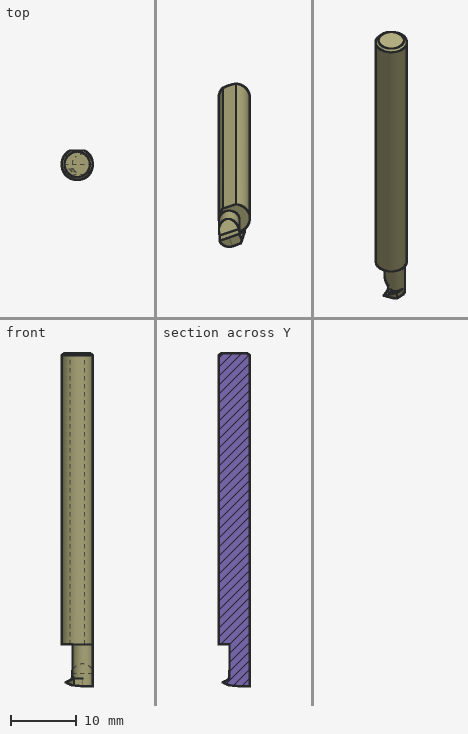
import cadquery as cq

overall_length = 50.8
shank_radius = 2.4
shank_flat_y = 2.15
chamfer_width = 0.45
chamfer_height = 0.35

neck_length = 6.4
neck_radius = 1.6
neck_center_x = shank_radius - neck_radius

relief_start_z = 1.95
relief_end_z = 3.45

tip_x = -1.8
tip_z = 0.6
tip_heel_x = -0.5
tip_top_z = 1.2
flank_bottom_x = -0.8
flank_bottom_z = 0.15

gusset_foot_x = -0.95
gusset_foot_z = tip_z + (gusset_foot_x - tip_x) * (tip_top_z - tip_z) / (tip_heel_x - tip_x)
gusset_top_x = -0.7
gusset_top_z = 1.4
gusset_depth = 0.7


def make_shank():
    shank_length = overall_length - neck_length
    side = (
        cq.Workplane("XZ")
        .moveTo(0, neck_length)
        .lineTo(shank_radius, neck_length)
        .lineTo(shank_radius, overall_length - chamfer_height)
        .lineTo(shank_radius - chamfer_width, overall_length)
        .lineTo(0, overall_length)
        .close()
    )
    shank = side.revolve(360, (0, 0, 0), (0, 1, 0))
    flat_stock = cq.Workplane("XY").box(
        2 * shank_radius, shank_radius, shank_length, centered=(True, False, False)
    )
    return shank.cut(flat_stock.translate((0, shank_flat_y, neck_length)))


def make_neck():
    neck = cq.Workplane("XY").center(neck_center_x, 0).circle(neck_radius).extrude(neck_length)
    relief = (
        cq.Workplane("YZ", origin=(neck_center_x, 0, 0))
        .moveTo(0, 0)
        .lineTo(0, relief_start_z)
        .lineTo(neck_radius, relief_end_z)
        .lineTo(neck_radius, 0)
        .close()
        .extrude(neck_radius, both=True)
    )
    end_clearance = (
        cq.Workplane("XZ")
        .moveTo(neck_center_x, 0)
        .lineTo(flank_bottom_x, flank_bottom_z)
        .lineTo(flank_bottom_x, 0)
        .close()
        .extrude(neck_radius, both=True)
    )
    return neck.cut(relief).cut(end_clearance)


def make_cutting_tip():
    profile = (
        cq.Workplane("XZ")
        .moveTo(tip_x, tip_z)
        .lineTo(tip_heel_x, tip_top_z)
        .lineTo(neck_center_x, tip_top_z)
        .lineTo(neck_center_x, 0)
        .lineTo(flank_bottom_x, flank_bottom_z)
        .close()
        .extrude(neck_radius)
    )
    plan = (
        cq.Workplane("XY")
        .moveTo(tip_x, 0)
        .lineTo(neck_center_x, 0)
        .lineTo(neck_center_x, -neck_radius)
        .lineTo(tip_heel_x, -neck_radius)
        .close()
        .extrude(tip_top_z)
    )
    gusset = (
        cq.Workplane("XZ")
        .moveTo(gusset_foot_x, gusset_foot_z)
        .lineTo(gusset_top_x, gusset_top_z)
        .lineTo(tip_heel_x, tip_top_z)
        .close()
        .extrude(gusset_depth)
    )
    return profile.intersect(plan).union(gusset)


result = make_shank().union(make_neck()).union(make_cutting_tip())